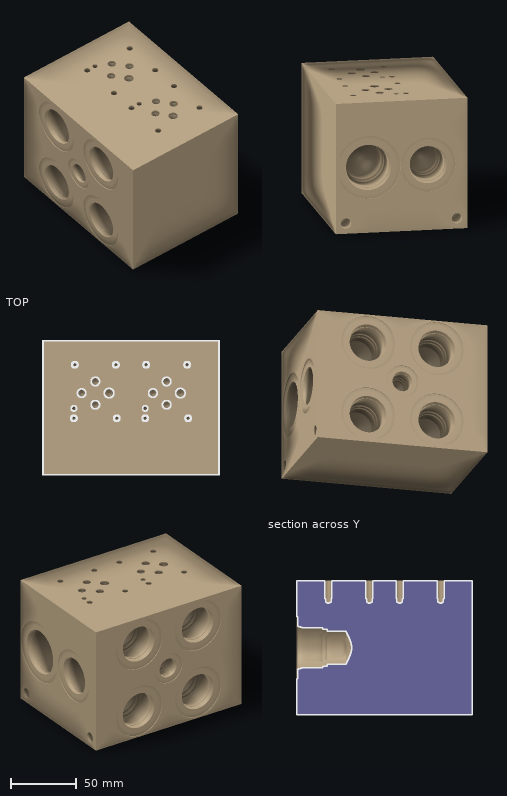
import cadquery as cq
import math

LENGTH, DEPTH, HEIGHT = 133.4, 101.6, 101.6
MID_X = LENGTH / 2
MID_Z = HEIGHT / 2

FRONT_FACE = cq.Plane(origin=(0, 0, 0), xDir=(1, 0, 0), normal=(0, -1, 0))
TOP_FACE = cq.Plane(origin=(0, 0, HEIGHT), xDir=(1, 0, 0), normal=(0, 0, 1))
LEFT_FACE = cq.Plane(origin=(0, DEPTH, 0), xDir=(0, -1, 0), normal=(-1, 0, 0))

DRILL_POINT_ANGLE = 118.0
SEAT_HALF_ANGLE = 12.0
POINT_SLOPE = math.tan(math.radians(DRILL_POINT_ANGLE / 2))
SEAT_SLOPE = math.tan(math.radians(SEAT_HALF_ANGLE))
SPOTFACE_DEPTH = 0.7

LARGE_PORT = dict(spotface=49.1, seat=33.7, thread=33.3, drill=31.2, core=28.5,
                  seat_depth=4.3, thread_depth=19.7, drill_depth=23.1, core_depth=37.3)
MEDIUM_PORT = dict(spotface=42.0, seat=27.5, thread=27.0, drill=25.0, core=23.1,
                   seat_depth=4.3, thread_depth=19.7, drill_depth=23.1, core_depth=32.0)
GAUGE_PORT = dict(spotface=25.0, seat=14.5, thread=14.3, drill=12.8, core=10.4,
                  seat_depth=3.2, thread_depth=12.7, drill_depth=14.7, core_depth=16.7)

STATION_PITCH = 54.0
STATIONS_X = [MID_X - STATION_PITCH / 2, MID_X + STATION_PITCH / 2]
WORK_PORT_ROW_PITCH = 57.2
WORK_PORTS_Z = [MID_Z - WORK_PORT_ROW_PITCH / 2, MID_Z + WORK_PORT_ROW_PITCH / 2]

TANK_PORT_SETBACK = DEPTH / 4
PRESSURE_PORT_SETBACK = 71.5
MOUNT_INSET = 8.0
MOUNT_THREAD, MOUNT_THREAD_DEPTH = 7.9, 16.0
MOUNT_DRILL, MOUNT_DRILL_DEPTH = 6.5, 20.0

REAR_BOLTS_Y = 83.3
BOLT_ROW_PITCH = 40.5
REAR_BOLT_SPACING, FRONT_BOLT_SPACING = 31.1, 32.5
BOLT_THREAD, BOLT_THREAD_DEPTH = 4.8, 13.3
BOLT_DRILL, BOLT_DRILL_DEPTH = 3.7, 16.0
PASSAGE, TANK_PASSAGE, PASSAGE_DEPTH = 6.4, 7.2, 2.0
PASSAGE_CENTER_SETBACK = 21.5
PASSAGE_SPREAD_X, PASSAGE_SPREAD_Y = 10.4, 8.8
PIN_HOLE, PIN_HOLE_DEPTH = 4.0, 4.0
PIN_SETBACK = 33.1


def hole(face, u, v, wall):
    """Cutter at (u, v) on a face, from (diameter, depth) wall points and ending in a drill point."""
    last_diameter, last_depth = wall[-1]
    tip_depth = last_depth + last_diameter / 2 / POINT_SLOPE
    outline = [(0, 0)] + [(diameter / 2, -depth) for diameter, depth in wall] + [(0, -tip_depth)]
    cutter = cq.Workplane("XY").polyline(outline).close().revolve(360, (0, 0, 0), (0, 1, 0)).val()
    cutter = cutter.rotate(cq.Vector(0, 0, 0), cq.Vector(1, 0, 0), 90)
    return cutter.moved(cq.Location(face)).moved(cq.Location(face.xDir * u + face.yDir * v))


def drilled_hole(face, u, v, diameter, depth):
    return hole(face, u, v, [(diameter, 0), (diameter, depth)])


def tapped_hole(face, u, v, thread, thread_depth, drill, drill_depth):
    return hole(face, u, v, [
        (thread, 0),
        (thread, thread_depth),
        (drill, thread_depth),
        (drill, drill_depth),
    ])


def port(face, u, v, size):
    """Spotfaced port with a tapered seat, a thread and two steps of drilling."""
    mouth = size["seat"] + 2 * SEAT_SLOPE * (size["seat_depth"] - SPOTFACE_DEPTH)
    return hole(face, u, v, [
        (size["spotface"], 0),
        (size["spotface"], SPOTFACE_DEPTH),
        (mouth, SPOTFACE_DEPTH),
        (size["seat"], size["seat_depth"]),
        (size["thread"], size["seat_depth"]),
        (size["thread"], size["thread_depth"]),
        (size["drill"], size["thread_depth"]),
        (size["drill"], size["drill_depth"]),
        (size["core"], size["drill_depth"]),
        (size["core"], size["core_depth"]),
    ])


def front_cutters():
    cutters = [port(FRONT_FACE, MID_X, MID_Z, GAUGE_PORT)]
    for x in STATIONS_X:
        for z in WORK_PORTS_Z:
            cutters.append(port(FRONT_FACE, x, z, MEDIUM_PORT))
    return cutters


def left_cutters():
    cutters = [
        port(LEFT_FACE, TANK_PORT_SETBACK, MID_Z, LARGE_PORT),
        port(LEFT_FACE, PRESSURE_PORT_SETBACK, MID_Z, MEDIUM_PORT),
    ]
    for setback in (MOUNT_INSET, DEPTH - MOUNT_INSET):
        cutters.append(tapped_hole(LEFT_FACE, setback, MOUNT_INSET, MOUNT_THREAD, MOUNT_THREAD_DEPTH,
                                   MOUNT_DRILL, MOUNT_DRILL_DEPTH))
    return cutters


def valve_cutters(station_x):
    """Four bolt holes, four flow passages and one locating pin hole."""
    cutters = []
    bolt_rows = [
        (REAR_BOLTS_Y, REAR_BOLT_SPACING),
        (REAR_BOLTS_Y - BOLT_ROW_PITCH, FRONT_BOLT_SPACING),
    ]
    for y, spacing in bolt_rows:
        for x in (station_x - spacing / 2, station_x + spacing / 2):
            cutters.append(tapped_hole(TOP_FACE, x, y, BOLT_THREAD, BOLT_THREAD_DEPTH,
                                       BOLT_DRILL, BOLT_DRILL_DEPTH))

    center_y = REAR_BOLTS_Y - PASSAGE_CENTER_SETBACK
    passages = [
        (station_x, center_y + PASSAGE_SPREAD_Y, PASSAGE),
        (station_x, center_y - PASSAGE_SPREAD_Y, PASSAGE),
        (station_x - PASSAGE_SPREAD_X, center_y, PASSAGE),
        (station_x + PASSAGE_SPREAD_X, center_y, TANK_PASSAGE),
    ]
    for x, y, diameter in passages:
        cutters.append(drilled_hole(TOP_FACE, x, y, diameter, PASSAGE_DEPTH))

    pin_x = station_x - FRONT_BOLT_SPACING / 2
    cutters.append(drilled_hole(TOP_FACE, pin_x, REAR_BOLTS_Y - PIN_SETBACK, PIN_HOLE, PIN_HOLE_DEPTH))
    return cutters


block = cq.Workplane("XY").box(LENGTH, DEPTH, HEIGHT, centered=False)
cutters = front_cutters() + left_cutters()
for station_x in STATIONS_X:
    cutters += valve_cutters(station_x)
result = cq.Workplane(block.val().cut(*cutters).Solids()[0])